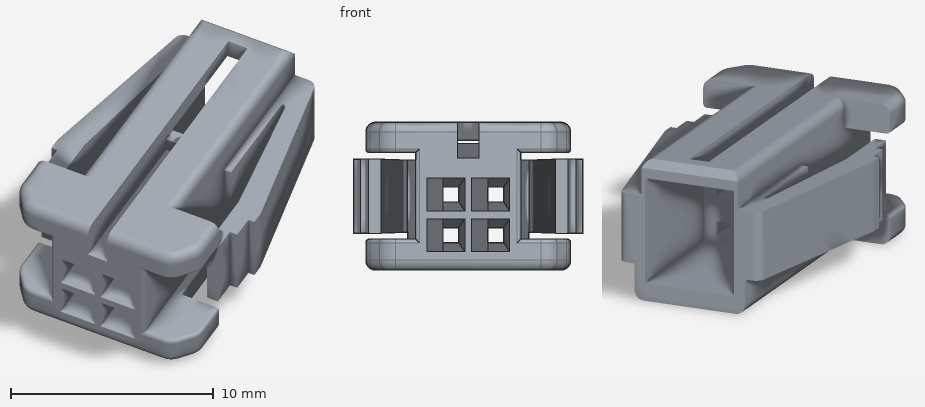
import cadquery as cq

length = 16.05
height = 7.3
mid_height = height / 2
edge_radius = 0.5

flange_half_width = 5.05
flange_depth = 3.27
corner_run_x = 0.98
corner_run_y = 1.27
corner_radius = 2 * edge_radius
recess_bottom = 1.54
recess_top = 5.8
recess_edge_radius = 0.2
rim_margin = 0.02

core_half_width = 2.6
base_half_width = 2.99
shoulder_start = 8.5
shoulder_height = 5.44
rear_chamfer = 0.4

arm_root_y = 13.93
arm_root_height = 3.58
arm_tip_y = 3.42
arm_tip_height = 3.69
arm_outer_x = 5.65
arm_outer_bend_y = 6.55
arm_rear_x = 3.79
arm_inner_x = 4.3
arm_inner_bend_y = 6.8
arm_inner_root_x = 3.21
first_step_x = 5.31
first_step_y = 5.89
second_step_x = 4.91
second_step_y = 4.7
arm_inner_radius = 0.2

socket_half_width = 2.4
socket_front = 9.05
socket_bottom = 0.91
socket_top = 6.39

slot_width = 1.06
slot_floor = 5.54
bar_front = 8.35
bar_top = 6.26
slot_end_top = 14.95
slot_end_bottom = 14.8
slot_end_radius = 0.05

cavity_width = 1.88
cavity_height = 1.62
cavity_pitch_x = 2.21
cavity_pitch_z = 2.0
cavity_mid_height = 2.73
cavity_depth = 7.22
funnel_width = 1.08
funnel_depth = 0.48
pin_hole_width = 0.77
pin_hole_height = 0.72


def block(x_range, y_range, z_range):
    """Box between two limits on each axis."""
    sizes = [high - low for low, high in (x_range, y_range, z_range)]
    corner = (x_range[0], y_range[0], z_range[0])
    return cq.Workplane("XY").box(*sizes, centered=False).translate(corner)


def mirrored_pair(right_solid):
    """The solid on the +X side together with its mirror image."""
    return right_solid.union(right_solid.mirror("YZ"))


def make_flange():
    """Flange with cut-off, rounded corners, rounded rims and a recess in each side."""
    front_x = flange_half_width - corner_run_x
    flange = (
        cq.Workplane("XY")
        .polyline([
            (-flange_half_width, flange_depth),
            (-flange_half_width, corner_run_y),
            (-front_x, 0),
            (front_x, 0),
            (flange_half_width, corner_run_y),
            (flange_half_width, flange_depth),
        ])
        .close()
        .extrude(height)
    )
    flange = flange.edges("|Z").edges("not >Y").fillet(corner_radius)
    flange = flange.faces("<Z or >Z").edges("not >Y").fillet(edge_radius)
    recess = block(
        (core_half_width, flange_half_width), (0, flange_depth), (recess_bottom, recess_top)
    )
    flange = flange.cut(mirrored_pair(recess))
    rim_bottom = recess_bottom - rim_margin
    rim_top = recess_top + rim_margin
    front_rim = cq.selectors.BoxSelector(
        (-flange_half_width, -rim_margin, rim_bottom),
        (flange_half_width, flange_depth / 2 - rim_margin, rim_top),
    )
    side_rims = [
        cq.selectors.BoxSelector(
            (side * (flange_half_width - rim_margin), 0, rim_bottom),
            (side * (flange_half_width + rim_margin), flange_depth - rim_margin, rim_top),
        )
        for side in (-1, 1)
    ]
    rims = front_rim + side_rims[0] + side_rims[1]
    flange = flange.edges(rims).fillet(recess_edge_radius)
    return flange


def make_body():
    """Core with a wider base and, towards the rear, wider shoulders."""

    def bar(half_width, start, bottom, top):
        return block((-half_width, half_width), (start, length), (bottom, top))

    core = bar(core_half_width, flange_depth, recess_bottom, height)
    core = core.edges("|Y and >Z").fillet(edge_radius)
    base = bar(base_half_width, flange_depth, 0, recess_bottom)
    base = base.edges("|Y and <Z").fillet(edge_radius)
    shoulders = bar(base_half_width, shoulder_start, recess_bottom, shoulder_height)
    chamfer_cut = (
        cq.Workplane("YZ")
        .polyline([
            (length, height - rear_chamfer),
            (length, height),
            (length - rear_chamfer, height),
        ])
        .close()
        .extrude(core_half_width, both=True)
    )
    return core.union(base).union(shoulders).cut(chamfer_cut)


def make_arm():
    """Right-hand latch arm, joined to the body at the rear and free at its stepped tip."""
    arm = (
        cq.Workplane("XY")
        .polyline([
            (0, length),
            (arm_rear_x, length),
            (arm_outer_x, arm_outer_bend_y),
            (arm_outer_x, first_step_y),
            (first_step_x, first_step_y),
            (first_step_x, second_step_y),
            (second_step_x, second_step_y),
            (second_step_x, arm_tip_y),
            (arm_inner_x, arm_tip_y),
            (arm_inner_x, arm_inner_bend_y),
            (arm_inner_root_x, arm_root_y),
            (0, arm_root_y),
        ])
        .close()
        .extrude(height)
    )
    outer_corner = cq.NearestToPointSelector((arm_rear_x, length, mid_height))
    arm = arm.edges(outer_corner).fillet(edge_radius)
    inner_corner = cq.NearestToPointSelector((arm_inner_root_x, arm_root_y, mid_height))
    arm = arm.edges(inner_corner).fillet(arm_inner_radius)
    root = arm_root_height / 2
    tip = arm_tip_height / 2
    side_outline = (
        cq.Workplane("YZ")
        .polyline([
            (length, mid_height - root),
            (length, mid_height + root),
            (arm_root_y, mid_height + root),
            (arm_tip_y, mid_height + tip),
            (arm_tip_y, mid_height - tip),
            (arm_root_y, mid_height - root),
        ])
        .close()
        .extrude(arm_outer_x)
    )
    return arm.intersect(side_outline)


def make_socket():
    """Socket and the key slot that opens it to the top, as one solid to remove."""
    socket = block(
        (-socket_half_width, socket_half_width), (socket_front, length), (socket_bottom, socket_top)
    )
    slot = (
        cq.Workplane("YZ")
        .polyline([
            (0, slot_floor),
            (bar_front, slot_floor),
            (bar_front, bar_top),
            (socket_front, bar_top),
            (socket_front, socket_top),
            (slot_end_bottom, socket_top),
            (slot_end_top, height),
            (0, height),
        ])
        .close()
        .extrude(slot_width / 2, both=True)
    )
    slot_end = cq.NearestToPointSelector((0, slot_end_bottom, socket_top))
    return socket.union(slot).edges(slot_end).fillet(slot_end_radius)


def make_cavity(center_x, center_z):
    """One contact cavity, funnel and pin hole."""
    left = center_x - cavity_width / 2
    right = center_x + cavity_width / 2
    bottom = center_z - cavity_height / 2
    funnel_left = right - funnel_width
    pocket = block((left, right), (0, cavity_depth), (bottom, bottom + cavity_height))
    pin_bottom = center_z - pin_hole_height / 2
    pin_hole = block(
        (funnel_left, funnel_left + pin_hole_width),
        (cavity_depth, socket_front),
        (pin_bottom, pin_bottom + pin_hole_height),
    )
    funnel = (
        cq.Workplane("XZ", origin=(funnel_left, cavity_depth, center_z))
        .center(funnel_width / 2, 0)
        .rect(funnel_width, cavity_height)
        .workplane(offset=-funnel_depth)
        .center((pin_hole_width - funnel_width) / 2, 0)
        .rect(pin_hole_width, pin_hole_height)
        .loft(ruled=True)
    )
    return pocket.union(funnel).union(pin_hole)


result = make_flange().union(make_body()).union(mirrored_pair(make_arm()))
result = result.cut(make_socket())
for side in (-1, 1):
    for level in (-1, 1):
        cavity_x = side * cavity_pitch_x / 2
        cavity_z = cavity_mid_height + level * cavity_pitch_z / 2
        result = result.cut(make_cavity(cavity_x, cavity_z))